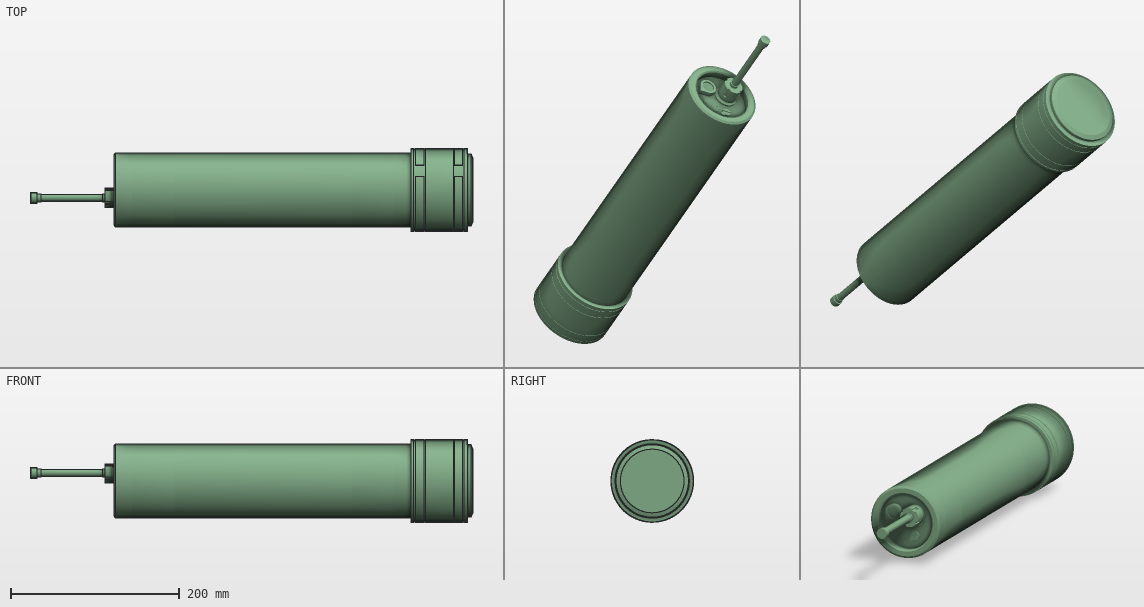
import cadquery as cq
import math


total_length = 524.5
rear_rim_x = 98.5
joint_positions = [120.5, 171.0, 381.0, 430.5]
sleeve_start_x = 451.0
sleeve_end_x = 518.0

tube_radius = 44.0
rear_chamfer_length = 2.0
rear_chamfer_height = 2.5
front_chamfer_length = 2.0
front_chamfer_height = 5.0
end_neck_radius = 43.0
recess_depth = 10.5
recess_radius = 34.0
recess_mouth_chamfer = 1.5
recess_floor_x = rear_rim_x + recess_depth

sleeve_radius = 98.0 / 2
groove_depth = 0.5
bands = [
    (454.0, 456.5, 466.5, 468.0),
    (501.0, 503.0, 512.0, 514.0),
]
band_gap_start = 19.0
band_gap_end = 37.0

cable_y = -9.5
cable_z = 9.5
plug_radius = 6.5
plug_length = 7.5
cable_neck_radius = 10.0 / 2
cable_neck_length = 4.5
cable_radius = 4.0
gland_start_x = 88.0
gland_neck_length = 3.0
gland_z = 9.0
gland_radius = 11.5
gland_slot_count = 4
gland_slot_width = 3.5
gland_slot_depth = 1.5
gland_slot_length = 12.5
gland_slot_angle = 32.0
gland_base_radius = 13.5
gland_base_height = 2.0
gland_base_y = -8.0
gland_base_z = 7.0

socket_y = 17.0
socket_z = 9.5
socket_radius = 10.0
socket_height = 6.5
socket_bore_radius = 7.5
socket_bore_depth = 2.0
cover_y = 10.0
cover_z = -13.0
cover_radius = 20.5 / 2
cover_height = 0.5
cover_hole_diameter = 2.0
cover_center_hole_diameter = 1.0
cover_hole_spacing = 7.5
screw_y = -9.5
screw_z = -18.0
screw_radius = 5.0
screw_height = 2.0
screw_slot_width = 1.5
screw_slot_depth = 1.0
screw_lug_radius = 2.5
screw_lug_offset = 6.5


def x_cylinder(start_x, end_x, radius, y=0.0, z=0.0):
    """Solid cylinder along X."""
    plane = cq.Workplane("YZ", origin=(start_x, y, z))
    return plane.circle(radius).extrude(end_x - start_x)


def x_ring(start_x, end_x, outer_radius, inner_radius):
    """Ring around the device axis."""
    plane = cq.Workplane("YZ", origin=(start_x, 0, 0))
    return plane.circle(outer_radius).circle(inner_radius).extrude(end_x - start_x)


def make_tube():
    """Turned body with the rear cup; the profile keeps a point at each flush joint."""
    profile = [
        (recess_floor_x, 0),
        (recess_floor_x, recess_radius),
        (rear_rim_x + recess_mouth_chamfer, recess_radius),
        (rear_rim_x, recess_radius + recess_mouth_chamfer),
        (rear_rim_x, tube_radius - rear_chamfer_height),
        (rear_rim_x + rear_chamfer_length, tube_radius),
    ]
    profile += [(x, tube_radius) for x in joint_positions]
    profile += [
        (sleeve_end_x, tube_radius),
        (sleeve_end_x, end_neck_radius),
        (total_length - front_chamfer_length, end_neck_radius),
        (total_length, end_neck_radius - front_chamfer_height),
        (total_length, 0),
    ]
    return cq.Workplane("XY").polyline(profile).close().revolve(360, (0, 0, 0), (1, 0, 0), clean=False)


def make_gland():
    """Cable gland barrel with open-ended slots around it, on an eccentric base."""
    barrel = x_cylinder(gland_start_x, recess_floor_x, gland_radius, cable_y, gland_z)
    slot = (
        cq.Workplane("YZ", origin=(gland_start_x, cable_y, gland_z))
        .center(0, gland_radius)
        .rect(gland_slot_width, 2 * gland_slot_depth)
        .extrude(gland_slot_length)
    )
    axis_start = (0, cable_y, gland_z)
    axis_end = (1, cable_y, gland_z)
    for index in range(gland_slot_count):
        angle = gland_slot_angle + index * 360 / gland_slot_count
        barrel = barrel.cut(slot.rotate(axis_start, axis_end, angle))
    base = x_cylinder(
        recess_floor_x - gland_base_height, recess_floor_x, gland_base_radius, gland_base_y, gland_base_z
    )
    return barrel.union(base)


def make_cable():
    """Plug, cable and the thicker neck at each end of the cable."""
    rear_neck_end = plug_length + cable_neck_length
    front_neck_start = gland_start_x - gland_neck_length
    plug = x_cylinder(0, plug_length, plug_radius, cable_y, cable_z)
    rear_neck = x_cylinder(plug_length, rear_neck_end, cable_neck_radius, cable_y, cable_z)
    cable = x_cylinder(rear_neck_end, front_neck_start, cable_radius, cable_y, cable_z)
    front_neck = x_cylinder(front_neck_start, gland_start_x, cable_neck_radius, cable_y, cable_z)
    return plug.union(rear_neck).union(cable).union(front_neck)


def make_socket():
    """Round socket with one square corner and a blind bore."""
    top_x = recess_floor_x - socket_height
    socket = x_cylinder(top_x, recess_floor_x, socket_radius, socket_y, socket_z)
    corner = (
        cq.Workplane("YZ", origin=(top_x, socket_y, socket_z))
        .rect(socket_radius, -socket_radius, centered=False)
        .extrude(socket_height)
    )
    bore = x_cylinder(top_x, top_x + socket_bore_depth, socket_bore_radius, socket_y, socket_z)
    return socket.union(corner).cut(bore)


def make_cover():
    """Flat round cover with a row of three small holes."""
    top_x = recess_floor_x - cover_height
    cover = x_cylinder(top_x, recess_floor_x, cover_radius, cover_y, cover_z)
    holes = [
        (-cover_hole_spacing, cover_hole_diameter),
        (0, cover_center_hole_diameter),
        (cover_hole_spacing, cover_hole_diameter),
    ]
    for shift, diameter in holes:
        hole = x_cylinder(top_x, recess_floor_x, diameter / 2, cover_y + shift, cover_z)
        cover = cover.cut(hole)
    return cover


def make_screw():
    """Slotted screw head with a small round lug beside it."""
    top_x = recess_floor_x - screw_height
    lug_shift = screw_lug_offset * math.sqrt(0.5)
    head = x_cylinder(top_x, recess_floor_x, screw_radius, screw_y, screw_z)
    slot = (
        cq.Workplane("YZ", origin=(top_x, screw_y, screw_z))
        .rect(2 * screw_radius, screw_slot_width)
        .extrude(screw_slot_depth)
    )
    lug = x_cylinder(
        top_x, recess_floor_x, screw_lug_radius, screw_y + lug_shift, screw_z - lug_shift
    )
    return head.union(lug).cut(slot)


def make_housing():
    """Housing with everything fixed to its rear end; the flush joints stay separate faces."""
    housing = make_tube()
    for fitting in (make_gland(), make_cable(), make_socket(), make_cover(), make_screw()):
        housing = housing.union(fitting, clean=False)
    return housing


def make_band_gap(start_x, end_x):
    """Wedge-shaped stretch of the groove that the band leaves open."""
    reach = 2 * sleeve_radius
    corners = [
        (reach * math.sin(math.radians(angle)), reach * math.cos(math.radians(angle)))
        for angle in (band_gap_start, band_gap_end)
    ]
    wedge = (
        cq.Workplane("YZ", origin=(start_x, 0, 0))
        .polyline([(0, 0)] + corners)
        .close()
        .extrude(end_x - start_x)
    )
    return wedge.intersect(x_ring(start_x, end_x, reach, sleeve_radius - groove_depth))


def make_sleeve():
    """Sleeve around the tube with two shallow grooves, each filled by an open band."""
    sleeve = x_ring(sleeve_start_x, sleeve_end_x, sleeve_radius, tube_radius)
    groove_floor = sleeve_radius - groove_depth
    for groove_start, band_start, band_end, groove_end in bands:
        sleeve = sleeve.cut(x_ring(groove_start, band_start, 2 * sleeve_radius, groove_floor))
        sleeve = sleeve.cut(x_ring(band_end, groove_end, 2 * sleeve_radius, groove_floor))
        sleeve = sleeve.cut(make_band_gap(band_start, band_end))
    return sleeve


housing = make_housing()
sleeve = make_sleeve()

result = cq.Compound.makeCompound([housing.solids().val(), sleeve.solids().val()])